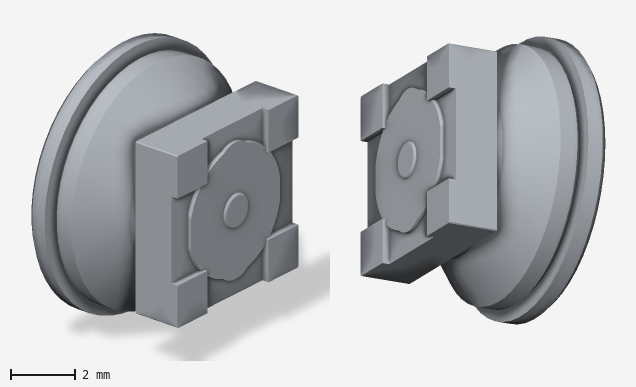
import cadquery as cq

HEAD_THICKNESS = 0.7
HEAD_CHAMFER = 0.2
COLLAR_CHAMFER = 0.2
CONE_START = 1.49
BLOCK_START = 3.1
TOTAL_LENGTH = 4.8

HEAD_RADIUS = 9 / 2
COLLAR_RADIUS = 8.3 / 2
NECK_RADIUS = 5.7 / 2

BLOCK_SIDE = 5.9
EDGE_CHAMFER = 0.04
CHANNEL_WIDTH = 2.99
CHANNEL_DEPTH = 0.24

PAD_RADIUS = 2.25
PAD_BASE_HEIGHT = 0.045
PAD_HEIGHT = 0.135
PAD_TOP_INSET = 0.04
PAD_HALF_WIDTH = 2.17
LOBE_RADIUS = 1.88 / 2
LOBE_OFFSET = 1.4

BUTTON_RADIUS = 1.2 / 2
BUTTON_ROUND = 0.1
BUTTON_TOP_GAP = 0.03

CHANNEL_FLOOR = TOTAL_LENGTH - CHANNEL_DEPTH


def disc(radius, start, length, z=0):
    """Cylinder along +X whose axis passes through (y=0, z)."""
    return cq.Workplane("YZ", origin=(start, 0, z)).circle(radius).extrude(length)


def make_head():
    """Round head, collar, 45 degree cone and neck, turned about X."""
    cone_end = CONE_START + COLLAR_RADIUS - NECK_RADIUS
    return (
        cq.Workplane("XY")
        .moveTo(0, 0)
        .lineTo(0, HEAD_RADIUS - HEAD_CHAMFER)
        .lineTo(HEAD_CHAMFER, HEAD_RADIUS)
        .lineTo(HEAD_THICKNESS, HEAD_RADIUS)
        .lineTo(HEAD_THICKNESS, COLLAR_RADIUS - COLLAR_CHAMFER)
        .lineTo(HEAD_THICKNESS + COLLAR_CHAMFER, COLLAR_RADIUS)
        .lineTo(CONE_START, COLLAR_RADIUS)
        .lineTo(cone_end, NECK_RADIUS)
        .lineTo(BLOCK_START, NECK_RADIUS)
        .lineTo(BLOCK_START, 0)
        .close()
        .revolve(360, (0, 0, 0), (1, 0, 0))
    )


def make_block():
    """Square block; two crossing channels leave four corner feet."""
    block = (
        cq.Workplane("YZ", origin=(BLOCK_START, 0, 0))
        .rect(BLOCK_SIDE, BLOCK_SIDE)
        .extrude(TOTAL_LENGTH - BLOCK_START)
        .edges("|X")
        .chamfer(EDGE_CHAMFER)
    )
    channels = cq.Workplane("YZ", origin=(CHANNEL_FLOOR, 0, 0))
    for size in ((BLOCK_SIDE, CHANNEL_WIDTH), (CHANNEL_WIDTH, BLOCK_SIDE)):
        block = block.cut(channels.rect(*size).extrude(CHANNEL_DEPTH))
    return block


def make_pad():
    """Disc with a tapered rim, flats on its Y sides and lobes on its Z sides."""
    pad = disc(PAD_RADIUS, CHANNEL_FLOOR, PAD_HEIGHT)
    taper_height = PAD_HEIGHT - PAD_BASE_HEIGHT
    pad = pad.faces(">X").chamfer(taper_height, PAD_TOP_INSET)
    flats = (
        cq.Workplane("YZ", origin=(CHANNEL_FLOOR, 0, 0))
        .rect(2 * PAD_HALF_WIDTH, 2 * PAD_RADIUS)
        .extrude(PAD_HEIGHT)
    )
    pad = pad.intersect(flats)
    for side in (-1, 1):
        pad = pad.union(disc(LOBE_RADIUS, CHANNEL_FLOOR, PAD_HEIGHT, z=side * LOBE_OFFSET))
    return pad


def make_button():
    """Low round button with a rounded top edge."""
    length = CHANNEL_DEPTH - BUTTON_TOP_GAP
    return disc(BUTTON_RADIUS, CHANNEL_FLOOR, length).faces(">X").edges().fillet(BUTTON_ROUND)


result = make_head().union(make_block()).union(make_pad()).union(make_button())